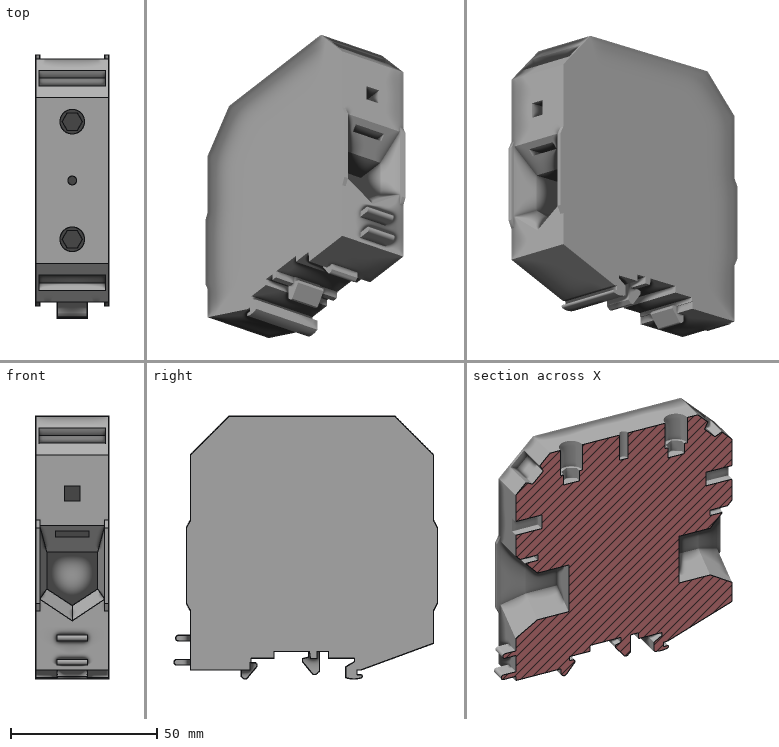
import cadquery as cq
import math


OVERALL_LENGTH = 90.07
OVERALL_HEIGHT = 89.8

WIDTH = 25.0
HALF_LENGTH = 41.57
TOP_Z = 86.7
CHAMFER = 13.2
REAR_CORNER_Z = 9.1
HALF_TOP = HALF_LENGTH - CHAMFER

CHANNEL_Z = 3.96
CHANNEL_ROOF_Z = 6.27
CHANNEL_REAR_Y = 14.5
CHANNEL_FRONT_Y = -20.8
CHANNEL_FRONT_FOOT_Y = -21.1
CHANNEL_LEDGE_Z = 2.5
ROOF_REAR_Y = 5.6
ROOF_FRONT_Y = -12.9

HOOK_FRONT_Y = 11.5
HOOK_TIP_Z = 1.05
HOOK_NECK_Z = 2.9
HOOK_TOE_Z = -2.6
HOOK_BOTTOM_Y = 14.3
HOOK_BOTTOM_Z = TOP_Z - OVERALL_HEIGHT
HOOK_BACK_Y = 15.4
HOOK_LIP_Y = 17.2
HOOK_LIP_TOP_Y = 16.4
HOOK_LIP_TOP_Z = -1.6
HOOK_LIP_Z = -2.2
HOOK_LIP_END_Y = 16.7
HOOK_LIP_END_Z = -2.75
SLOPE_END_Y = 16.8

LATCH_WIDTH = 10.4
TAB_REAR_Y = 1.65
TAB_FRONT_Y = -0.5
TAB_FRONT_TOP_Y = -0.85
CENTRE_LATCH_REAR_Y = 2.64
CENTRE_LATCH_REAR_Z = -0.4
CENTRE_LATCH_TIP_Z = -1.6
CENTRE_LATCH_TIP_REAR_Y = 1.3
CENTRE_LATCH_TIP_FRONT_Y = 0.4
BARB_Y = -3.3
BARB_LOWER_Z = 2.9
BARB_UPPER_Z = 3.9
BARB_NECK_Y = -1.25
BARB_NECK_Z = 4.4
FRONT_LATCH_NOSE_Y = -18.7
FRONT_LATCH_NOSE_LOWER_Z = 1.3
FRONT_LATCH_NOSE_UPPER_Z = 1.9
FRONT_LATCH_TOP_Y = -19.3
FRONT_LATCH_TIP_Y = -22.8
FRONT_LATCH_TIP_HALF_LENGTH = 0.6
FRONT_LATCH_TIP_Z = -2.9
FRONT_LATCH_FRONT_Y = -24.2
FRONT_LATCH_FRONT_Z = -2.2

STRIP_WIDTH = 1.4
STRIP_PROUD = 1.35
STRIP_BOTTOM_Z = 20.2
STRIP_TOP_Z = 51.2
STRIP_BEVEL = 2.6

SLOT_SIDE_WALL = 1.1
SLOT_LENGTH = 7.4
SLOT_FLOOR_LENGTH = 5.6
SLOT_DEPTH = 2.7

TEST_SIZE = 5.2
TEST_Z = 60.3
TEST_DEPTH = 10.0

FUNNEL_DEPTH = 8.4
PASSAGE_DEPTH = 12.0
MOUTH_HALF_WIDTH = WIDTH / 2 - STRIP_WIDTH
MOUTH_TOP_Z = 49.3
MOUTH_SIDE_Z = 24.2
MOUTH_APEX_Z = 16.8
THROAT_HALF_WIDTH = 8.7
THROAT_TOP_Z = 40.3
THROAT_SIDE_Z = 27.7
THROAT_APEX_Z = 22.0
WINDOW_WIDTH = 11.6
WINDOW_HEIGHT = 1.95
WINDOW_Z = 46.5

SCREW_Y = 20.1
SHAFT_DIAMETER = 8.4
SHAFT_DEPTH = 10.0
HEX_FLATS = 6.0
HEX_DEPTH = 4.0
CENTRE_HOLE_DIAMETER = 3.0
CENTRE_HOLE_DEPTH = 10.0

PIN_WIDTH = 10.4
PIN_HEIGHT = 2.0
UPPER_PIN_Z = 10.9
LOWER_PIN_Z = 2.65
UPPER_PIN_LENGTH = 5.0
LOWER_PIN_LENGTH = OVERALL_LENGTH - 2 * HALF_LENGTH - STRIP_PROUD


def extrude_across(profile, width):
    """Extrude a closed YZ profile symmetrically about X = 0."""
    return profile.close().extrude(width / 2, both=True)


def both_ends(solid):
    """Return the front-end solid together with its copy at the rear end."""
    return solid.union(solid.mirror("XZ"))


def housing():
    profile = (
        cq.Workplane("YZ")
        .moveTo(-HALF_LENGTH, 0)
        .lineTo(-HALF_LENGTH, TOP_Z - CHAMFER)
        .lineTo(-HALF_TOP, TOP_Z)
        .lineTo(HALF_TOP, TOP_Z)
        .lineTo(HALF_LENGTH, TOP_Z - CHAMFER)
        .lineTo(HALF_LENGTH, REAR_CORNER_Z)
        .lineTo(SLOPE_END_Y, 0)
        .lineTo(HOOK_BACK_Y, 0)
        .lineTo(HOOK_BACK_Y, HOOK_LIP_TOP_Z)
        .lineTo(HOOK_LIP_TOP_Y, HOOK_LIP_TOP_Z)
        .threePointArc((HOOK_LIP_Y, HOOK_LIP_Z), (HOOK_LIP_END_Y, HOOK_LIP_END_Z))
        .threePointArc((HOOK_BOTTOM_Y, HOOK_BOTTOM_Z), (HOOK_FRONT_Y, HOOK_TOE_Z))
        .lineTo(HOOK_FRONT_Y, HOOK_TIP_Z)
        .lineTo(CHANNEL_REAR_Y, HOOK_NECK_Z)
        .lineTo(CHANNEL_REAR_Y, CHANNEL_Z)
        .lineTo(ROOF_REAR_Y, CHANNEL_Z)
        .lineTo(ROOF_REAR_Y, CHANNEL_ROOF_Z)
        .lineTo(ROOF_FRONT_Y, CHANNEL_ROOF_Z)
        .lineTo(ROOF_FRONT_Y, CHANNEL_Z)
        .lineTo(CHANNEL_FRONT_Y, CHANNEL_Z)
        .lineTo(CHANNEL_FRONT_Y, CHANNEL_LEDGE_Z)
        .lineTo(CHANNEL_FRONT_FOOT_Y, CHANNEL_LEDGE_Z)
        .lineTo(CHANNEL_FRONT_FOOT_Y, 0)
    )
    return extrude_across(profile, WIDTH)


def channel_tab():
    """Full-width tab hanging from the channel roof."""
    profile = cq.Workplane("YZ").polyline([
        (TAB_REAR_Y, CHANNEL_ROOF_Z),
        (TAB_REAR_Y, CHANNEL_Z),
        (TAB_FRONT_Y, CHANNEL_Z),
        (TAB_FRONT_TOP_Y, CHANNEL_ROOF_Z),
    ])
    return extrude_across(profile, WIDTH)


def centre_latch():
    """Narrow barbed latch around the channel tab."""
    profile = cq.Workplane("YZ").polyline([
        (CENTRE_LATCH_REAR_Y, CHANNEL_ROOF_Z),
        (CENTRE_LATCH_REAR_Y, CENTRE_LATCH_REAR_Z),
        (CENTRE_LATCH_TIP_REAR_Y, CENTRE_LATCH_TIP_Z),
        (CENTRE_LATCH_TIP_FRONT_Y, CENTRE_LATCH_TIP_Z),
        (BARB_Y, BARB_LOWER_Z),
        (BARB_Y, BARB_UPPER_Z),
        (BARB_NECK_Y, BARB_NECK_Z),
        (BARB_NECK_Y, CHANNEL_ROOF_Z),
    ])
    return extrude_across(profile, LATCH_WIDTH)


def front_latch():
    """Narrow slanted latch at the front edge of the channel."""
    tip_rear_y = FRONT_LATCH_TIP_Y + FRONT_LATCH_TIP_HALF_LENGTH
    tip_front_y = FRONT_LATCH_TIP_Y - FRONT_LATCH_TIP_HALF_LENGTH
    profile = (
        cq.Workplane("YZ")
        .moveTo(FRONT_LATCH_TOP_Y, CHANNEL_LEDGE_Z)
        .lineTo(FRONT_LATCH_NOSE_Y, FRONT_LATCH_NOSE_UPPER_Z)
        .lineTo(FRONT_LATCH_NOSE_Y, FRONT_LATCH_NOSE_LOWER_Z)
        .lineTo(tip_rear_y, FRONT_LATCH_TIP_Z)
        .threePointArc((FRONT_LATCH_TIP_Y, HOOK_BOTTOM_Z), (tip_front_y, FRONT_LATCH_TIP_Z))
        .lineTo(FRONT_LATCH_FRONT_Y, FRONT_LATCH_FRONT_Z)
        .lineTo(FRONT_LATCH_FRONT_Y, CHANNEL_LEDGE_Z)
    )
    return extrude_across(profile, LATCH_WIDTH)


def guide_strips():
    """Bevelled strips along both side edges of the front end."""
    outer_y = -HALF_LENGTH - STRIP_PROUD
    profile = cq.Workplane("YZ").polyline([
        (-HALF_LENGTH, STRIP_BOTTOM_Z),
        (outer_y, STRIP_BOTTOM_Z + STRIP_BEVEL),
        (outer_y, STRIP_TOP_Z - STRIP_BEVEL),
        (-HALF_LENGTH, STRIP_TOP_Z),
    ])
    full_width = extrude_across(profile, WIDTH)
    gap = cq.Workplane("XY").box(2 * MOUTH_HALF_WIDTH, 4 * HALF_LENGTH, 2 * TOP_Z)
    return full_width.cut(gap)


def marker_slot():
    """Slot in the front chamfer whose end walls taper towards its floor."""
    width = WIDTH - 2 * SLOT_SIDE_WALL
    chamfer_plane = cq.Plane(
        origin=(0, -HALF_LENGTH + CHAMFER / 2, TOP_Z - CHAMFER / 2),
        xDir=(1, 0, 0),
        normal=(0, -1, 1),
    )
    return (
        cq.Workplane(chamfer_plane)
        .rect(width, SLOT_LENGTH)
        .workplane(offset=-SLOT_DEPTH)
        .rect(width, SLOT_FLOOR_LENGTH)
        .loft(ruled=True)
    )


def end_pocket(width, height, centre_z, depth):
    """Rectangular pocket running inwards from the front end face."""
    return cq.Workplane("XY").box(width, depth, height).translate(
        (0, -HALF_LENGTH + depth / 2, centre_z)
    )


def funnel_section(half_width, top_z, side_z, apex_z):
    """Corners of a funnel section with a V-shaped floor, as X and Z."""
    return [
        (-half_width, top_z),
        (half_width, top_z),
        (half_width, side_z),
        (0, apex_z),
        (-half_width, side_z),
    ]


def wire_funnel():
    """Tapered mouth followed by a straight passage of the throat section."""
    mouth = funnel_section(MOUTH_HALF_WIDTH, MOUTH_TOP_Z, MOUTH_SIDE_Z, MOUTH_APEX_Z)
    throat = funnel_section(THROAT_HALF_WIDTH, THROAT_TOP_Z, THROAT_SIDE_Z, THROAT_APEX_Z)
    taper = (
        cq.Workplane("XZ", origin=(0, -HALF_LENGTH, 0))
        .polyline(mouth)
        .close()
        .workplane(offset=-FUNNEL_DEPTH)
        .polyline(throat)
        .close()
        .loft(ruled=True)
    )
    passage = (
        cq.Workplane("XZ", origin=(0, FUNNEL_DEPTH - HALF_LENGTH, 0))
        .polyline(throat)
        .close()
        .extrude(-PASSAGE_DEPTH)
    )
    return taper.union(passage)


def contact_pin(centre_z, length):
    """Flat pin with a rounded tip, standing out from the front end face."""
    half_height = PIN_HEIGHT / 2
    tip_y = -HALF_LENGTH - length
    arc_start_y = tip_y + half_height
    profile = (
        cq.Workplane("YZ")
        .moveTo(-HALF_LENGTH, centre_z - half_height)
        .lineTo(arc_start_y, centre_z - half_height)
        .threePointArc((tip_y, centre_z), (arc_start_y, centre_z + half_height))
        .lineTo(-HALF_LENGTH, centre_z + half_height)
    )
    return extrude_across(profile, PIN_WIDTH)


def screw_shaft():
    """Shaft of the front screw with the hexagon socket in its floor."""
    top = cq.Workplane("XY", origin=(0, -SCREW_Y, TOP_Z))
    hex_corners = HEX_FLATS / math.cos(math.pi / 6)
    shaft = top.circle(SHAFT_DIAMETER / 2).extrude(-SHAFT_DEPTH)
    socket = top.polygon(6, hex_corners).extrude(-SHAFT_DEPTH - HEX_DEPTH)
    return shaft.union(socket)


def centre_hole():
    return (
        cq.Workplane("XY", origin=(0, 0, TOP_Z))
        .circle(CENTRE_HOLE_DIAMETER / 2)
        .extrude(-CENTRE_HOLE_DEPTH)
    )


result = housing().union(channel_tab()).union(centre_latch()).union(front_latch())
result = result.union(both_ends(guide_strips()))
result = result.union(contact_pin(UPPER_PIN_Z, UPPER_PIN_LENGTH))
result = result.union(contact_pin(LOWER_PIN_Z, LOWER_PIN_LENGTH))

test_opening = end_pocket(TEST_SIZE, TEST_SIZE, TEST_Z, TEST_DEPTH)
funnel_window = end_pocket(WINDOW_WIDTH, WINDOW_HEIGHT, WINDOW_Z, FUNNEL_DEPTH)
for cutter in (marker_slot(), test_opening, wire_funnel(), funnel_window, screw_shaft()):
    result = result.cut(both_ends(cutter))
result = result.cut(centre_hole())